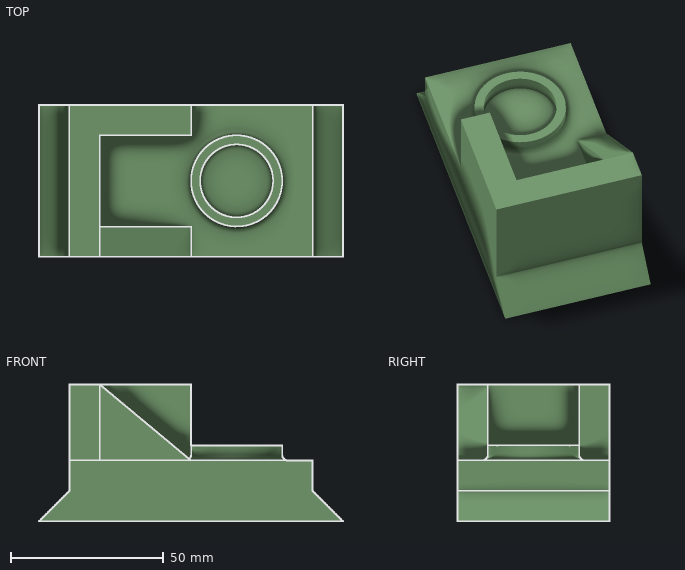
import cadquery as cq

length = 100.0
width = 50.0
height = 45.0

base_height = 20.0
foot_size = 10.0

wall_thickness = 10.0
wall_start = foot_size
wall_inner_x = wall_start + wall_thickness
wall_inner_y = width - wall_thickness
wall_end = 50.0

ring_outer_diameter = 30.0
ring_inner_diameter = 24.0
ring_height = 5.0
ring_fillet = 2.0
ring_center = (wall_end + ring_outer_diameter / 2, width / 2, base_height)


def extrude_along_y(points, depth):
    """Extrude an XZ outline from the Y = 0 face towards +Y."""
    return cq.Workplane("XZ").polyline(points).close().extrude(-depth)


def ring_cylinder(diameter):
    """Cylinder on the ring axis, from the base top to the ring top."""
    return cq.Workplane("XY", origin=ring_center).circle(diameter / 2).extrude(ring_height)


def make_base():
    """Base block with feet at both ends and a raised, filleted ring on top."""
    block_end = length - foot_size
    block = extrude_along_y(
        [
            (0, 0),
            (length, 0),
            (block_end, foot_size),
            (block_end, base_height),
            (foot_size, base_height),
            (foot_size, foot_size),
        ],
        width,
    )
    boss = ring_cylinder(ring_outer_diameter)
    bore = ring_cylinder(ring_inner_diameter)
    root_edge = cq.selectors.NearestToPointSelector(ring_center)
    filleted = block.union(boss).edges("%CIRCLE").edges(root_edge).fillet(ring_fillet)
    return filleted.cut(bore)


def make_wall():
    """L-shaped wall along the -X end and the +Y side."""
    outline = [
        (wall_start, 0),
        (wall_inner_x, 0),
        (wall_inner_x, wall_inner_y),
        (wall_end, wall_inner_y),
        (wall_end, width),
        (wall_start, width),
    ]
    plane = cq.Workplane("XY", origin=(0, 0, base_height))
    return plane.polyline(outline).close().extrude(height - base_height)


def make_rib():
    """Triangular rib bracing the wall along the -Y side."""
    outline = [
        (wall_inner_x, base_height),
        (wall_end, base_height),
        (wall_inner_x, height),
    ]
    return extrude_along_y(outline, wall_thickness)


base = make_base()
wall = make_wall()
rib = make_rib()

result = cq.Compound.makeCompound([base.solids().val(), wall.val(), rib.val()])